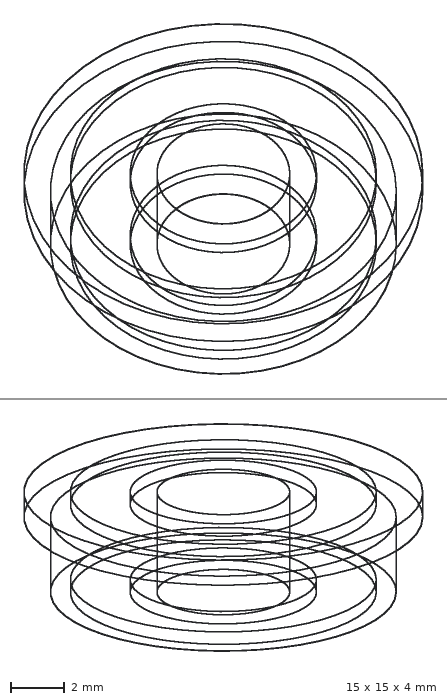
import cadquery as cq

flange_diameter = 15.0
body_diameter = 13.0
bore_diameter = 5.0
height = 4.0
flange_thickness = 1.0

recess_outer_diameter = 11.5
recess_inner_diameter = 7.0
recess_depth = 0.5


def ring(outer_diameter, inner_diameter, bottom, thickness):
    """Flat ring around the Z axis, standing on the given height."""
    return (
        cq.Workplane("XY", origin=(0, 0, bottom))
        .circle(outer_diameter / 2)
        .circle(inner_diameter / 2)
        .extrude(thickness)
    )


body = ring(body_diameter, bore_diameter, 0, height)
flange = ring(flange_diameter, bore_diameter, height - flange_thickness, flange_thickness)
result = body.union(flange)

for recess_bottom in (0, height - recess_depth):
    recess = ring(recess_outer_diameter, recess_inner_diameter, recess_bottom, recess_depth)
    result = result.cut(recess)